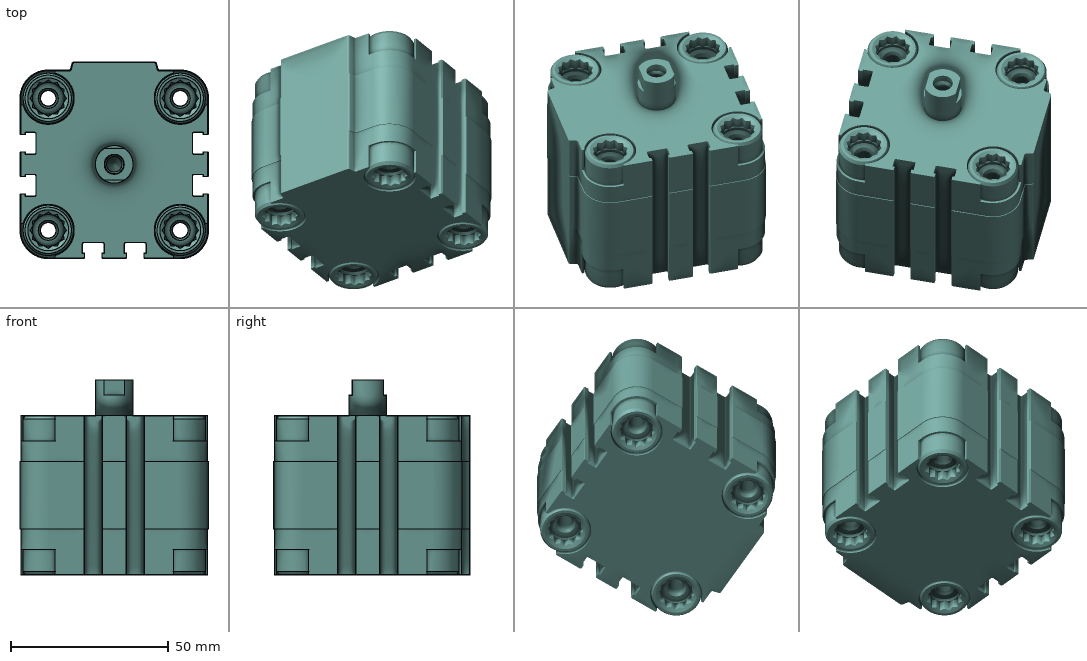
import cadquery as cq
import math

housing_height = 50.6
cap_height = 14.5
barrel_half_width = 30.0
barrel_relief = 0.25
cap_half_width = barrel_half_width - barrel_relief
corner_offset = 21.0

pad_face_y = 32.5
pad_half_width = 13.05
pad_flank_angle = 15.0
pad_round = 0.6

slot_offset = 6.7
slot_opening = 5.5
slot_inner_width = 6.9
slot_floor = 24.95
slot_lip_floor = 28.25
slot_lip_round = 0.2
slot_floor_round = 0.45

collar_radius = 16.0 / 2
collar_rim_radius = 14.75 / 2
collar_chamfer_height = 1.0
pocket_radius = 16.55 / 2
pocket_depth = 8.1
pocket_edge = 18.8

socket_mouth_radius = 6.5
socket_mouth_angle = 27.0
star_tip_radius = 5.75
star_points = 12
star_depth = 3.9
socket_radius = 10.1 / 2
socket_depth = 5.0
bolt_cone_radius = 6.4 / 2
bolt_cone_depth = 0.95
bolt_hole_radius = 4.95 / 2

rod_radius = 12.0 / 2
rod_top = 62.0
rod_bottom = housing_height - cap_height
rod_across_flats = 10.0
rod_flat_length = 4.8
rod_counterbore_radius = 6.4 / 2
rod_counterbore_depth = 2.55
rod_cone_radius = 6.0 / 2
rod_cone_depth = 0.75
rod_hole_radius = 4.95 / 2
rod_hole_depth = 12.5
drill_tip_angle = 118.0


def pad_prism(height, relief_outside):
    """Pad on the +Y side; its flanks run down into the housing, its face is common to all stretches."""
    flank_run = math.tan(math.radians(pad_flank_angle))
    half_face = pad_half_width + relief_outside
    half_root = half_face + pad_face_y * flank_run
    outline = [(-half_root, 0), (half_root, 0), (half_face, pad_face_y), (-half_face, pad_face_y)]
    return cq.Workplane("XY").polyline(outline).close().extrude(height)


def slot_prism(height, side_distance):
    """T-slot in the -Y side, centred on X = 0, with rounded lips and floor corners."""
    half_opening = slot_opening / 2
    mouth = (
        cq.Workplane("XY")
        .moveTo(-half_opening - slot_lip_round, -side_distance)
        .radiusArc((-half_opening, -side_distance + slot_lip_round), slot_lip_round)
        .lineTo(-half_opening, -slot_lip_floor)
        .lineTo(half_opening, -slot_lip_floor)
        .lineTo(half_opening, -side_distance + slot_lip_round)
        .radiusArc((half_opening + slot_lip_round, -side_distance), slot_lip_round)
        .close()
        .extrude(height)
    )
    inner = (
        cq.Workplane("XY")
        .rect(slot_inner_width, slot_lip_floor - slot_floor)
        .extrude(height)
        .translate((0, -(slot_lip_floor + slot_floor) / 2, 0))
        .edges("|Z and >Y")
        .fillet(slot_floor_round)
    )
    return mouth.union(inner)


def housing_stretch(bottom, height, half_width):
    """One stretch of the housing: rounded square, pad and T-slots."""
    stretch = (
        cq.Workplane("XY")
        .rect(2 * half_width, 2 * half_width)
        .extrude(height)
        .edges("|Z")
        .fillet(half_width - corner_offset)
    )
    stretch = stretch.union(pad_prism(height, half_width - cap_half_width))
    pad_zone = cq.selectors.BoxSelector(
        (-pocket_edge, slot_lip_floor, 0),
        (pocket_edge, barrel_half_width + pad_face_y, height),
    )
    stretch = stretch.edges("|Z").edges(pad_zone).fillet(pad_round)
    for turn in (-90, 0, 90):
        for offset in (-slot_offset, slot_offset):
            slot = slot_prism(height, half_width).translate((offset, 0, 0))
            stretch = stretch.cut(slot.rotate((0, 0, 0), (0, 0, 1), turn))
    return stretch.translate((0, 0, bottom))


def bolt_collar():
    """Solid collar at the origin, its rim on top at Z = 0, chamfered around the rim."""
    outline = [
        (0, 0),
        (collar_rim_radius, 0),
        (collar_radius, -collar_chamfer_height),
        (collar_radius, -pocket_depth),
        (0, -pocket_depth),
    ]
    return cq.Workplane("XZ").polyline(outline).close().revolve(360, (0, 0, 0), (0, 1, 0))


def collar_pocket():
    """Space around a collar for the +X +Y corner: a ring gap, opened out to the corner."""
    gap = cq.Workplane("XY").circle(pocket_radius).extrude(-pocket_depth)
    reach = 2 * (barrel_half_width - pocket_edge)
    edge = pocket_edge - corner_offset
    opening = cq.Workplane("XY").rect(reach, reach, centered=False).extrude(-pocket_depth)
    return gap.union(opening.translate((edge, edge, 0))).cut(bolt_collar())


def star_prism():
    """Twelve-pointed star of the wrench socket."""
    outline = []
    for step in range(2 * star_points):
        radius = socket_radius if step % 2 else star_tip_radius
        angle = step * math.pi / star_points
        outline.append((radius * math.cos(angle), radius * math.sin(angle)))
    return cq.Workplane("XY").polyline(outline).close().extrude(-star_depth)


def bolt_socket():
    """Countersink, star socket, round recess and tapered start of the bolt hole, from Z = 0 down."""
    countersink_depth = socket_mouth_radius * math.tan(math.radians(socket_mouth_angle))
    countersink = (
        cq.Workplane("XZ")
        .polyline([(0, 0), (socket_mouth_radius, 0), (0, -countersink_depth)])
        .close()
        .revolve(360, (0, 0, 0), (0, 1, 0))
    )
    bore_outline = [
        (0, 0),
        (socket_radius, 0),
        (socket_radius, -socket_depth),
        (bolt_cone_radius, -socket_depth),
        (bolt_hole_radius, -socket_depth - bolt_cone_depth),
        (0, -socket_depth - bolt_cone_depth),
    ]
    bore = cq.Workplane("XZ").polyline(bore_outline).close().revolve(360, (0, 0, 0), (0, 1, 0))
    return bore.union(star_prism()).union(countersink)


def make_housing():
    barrel_height = housing_height - 2 * cap_height
    housing = housing_stretch(cap_height, barrel_height, barrel_half_width)
    for bottom in (0, housing_height - cap_height):
        housing = housing.union(housing_stretch(bottom, cap_height, cap_half_width))
    housing = housing.clean()

    top_cut = collar_pocket().union(bolt_socket())
    top_cut = top_cut.translate((corner_offset, corner_offset, housing_height))
    bottom_cut = top_cut.mirror("XY", (0, 0, housing_height / 2))
    bolt_hole = (
        cq.Workplane("XY")
        .center(corner_offset, corner_offset)
        .circle(bolt_hole_radius)
        .extrude(housing_height)
    )
    for corner in range(4):
        for cutter in (top_cut, bottom_cut, bolt_hole):
            housing = housing.cut(cutter.rotate((0, 0, 0), (0, 0, 1), 90 * corner))

    rod_guide = cq.Workplane("XY").workplane(offset=rod_bottom).circle(rod_radius).extrude(cap_height)
    return housing.cut(rod_guide)


def make_rod():
    rod = cq.Workplane("XY").workplane(offset=rod_bottom).circle(rod_radius).extrude(rod_top - rod_bottom)

    flat_end = cq.Workplane("XY").workplane(offset=rod_top).circle(2 * rod_radius).extrude(-rod_flat_length)
    between_flats = (
        cq.Workplane("XY")
        .workplane(offset=rod_top)
        .rect(4 * rod_radius, rod_across_flats)
        .extrude(-rod_flat_length)
    )
    rod = rod.cut(flat_end.cut(between_flats))

    cone_bottom = rod_top - rod_counterbore_depth - rod_cone_depth
    tip_depth = rod_hole_depth + rod_hole_radius / math.tan(math.radians(drill_tip_angle / 2))
    hole_outline = [
        (0, rod_top),
        (rod_counterbore_radius, rod_top),
        (rod_counterbore_radius, rod_top - rod_counterbore_depth),
        (rod_cone_radius, rod_top - rod_counterbore_depth),
        (rod_hole_radius, cone_bottom),
        (rod_hole_radius, rod_top - rod_hole_depth),
        (0, rod_top - tip_depth),
    ]
    hole = cq.Workplane("XZ").polyline(hole_outline).close().revolve(360, (0, 0, 0), (0, 1, 0))
    return rod.cut(hole)


housing = make_housing()
rod = make_rod()
result = cq.Compound.makeCompound([housing.val(), rod.val()])